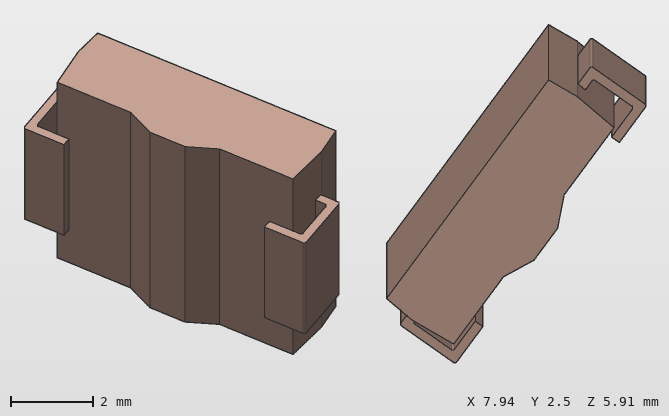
import cadquery as cq

overall_width = 7.94
overall_depth = 2.5
body_height = 5.91
back_y = overall_depth / 2
front_y = -overall_depth / 2

parting_width = 6.86
back_width = 6.72
front_width = 6.645
parting_y = back_y - 0.81
body_front_y = back_y - 1.985

rib_base_width = 2.52
rib_crest_width = 0.985
rib_crest_y = back_y - 2.34

clip_height = 3.05
clip_thickness = 0.23
clip_depth = 1.67
clip_foot_length = 1.14
clip_corner_radius = 0.055
clip_embed = 0.24


def make_body():
    """Body and rib as one mirrored profile, extruded along Z about the middle."""
    half_profile = [
        (0, back_y),
        (back_width / 2, back_y),
        (parting_width / 2, parting_y),
        (front_width / 2, body_front_y),
        (rib_base_width / 2, body_front_y),
        (rib_crest_width / 2, rib_crest_y),
        (0, rib_crest_y),
    ]
    return (
        cq.Workplane("XY")
        .polyline(half_profile)
        .mirrorY()
        .extrude(body_height / 2, both=True)
    )


def make_right_clip():
    """C-shaped strip: rear arm into the body, outer wall, and foot folded inward in front."""
    outer_x = overall_width / 2
    inner_x = outer_x - clip_thickness
    arm_end_x = parting_width / 2 - clip_embed
    foot_end_x = outer_x - clip_foot_length
    arm_back_y = front_y + clip_depth
    arm_front_y = arm_back_y - clip_thickness
    foot_back_y = front_y + clip_thickness
    outline = [
        (arm_end_x, arm_back_y),
        (outer_x, arm_back_y),
        (outer_x, front_y),
        (foot_end_x, front_y),
        (foot_end_x, foot_back_y),
        (inner_x, foot_back_y),
        (inner_x, arm_front_y),
        (arm_end_x, arm_front_y),
    ]
    strip = cq.Workplane("XY").polyline(outline).close().extrude(clip_height / 2, both=True)
    wall_region = cq.selectors.BoxSelector(
        (inner_x - clip_thickness / 2, front_y - clip_thickness, -clip_height),
        (outer_x + clip_thickness / 2, back_y, clip_height),
    )
    return strip.edges("|Z").edges(wall_region).fillet(clip_corner_radius)


right_clip = make_right_clip()
left_clip = right_clip.mirror("YZ")
result = make_body().union(right_clip).union(left_clip)